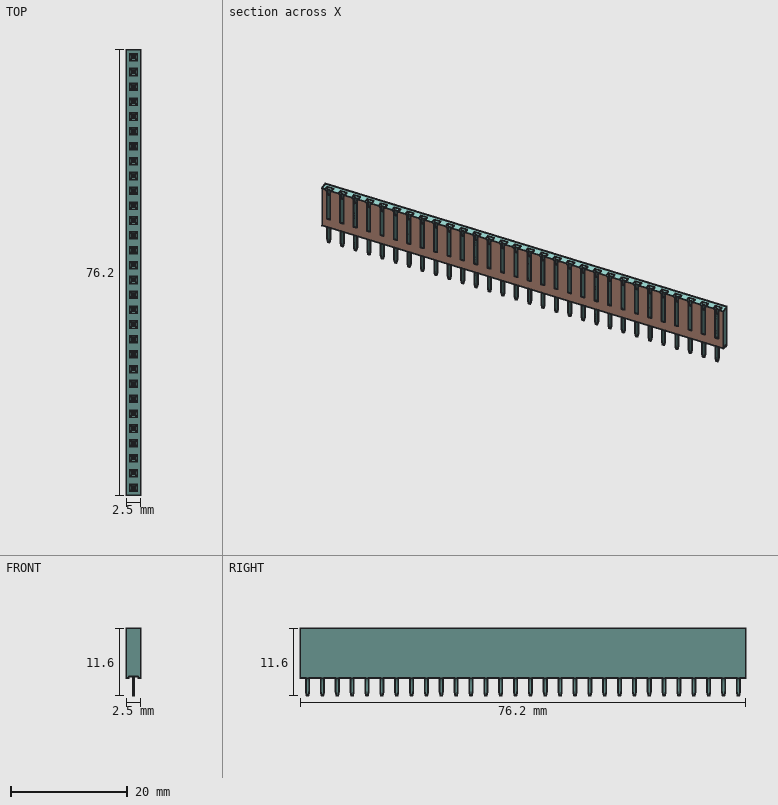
import cadquery as cq

pin_count = 30
body_length = 76.2
body_width = 2.5
body_height = 8.5
total_height = 11.6
pitch = body_length / pin_count

channel_width = 1.6
channel_depth = 0.2

mouth_size = 1.2
socket_size = 0.6
socket_depth = 6.1
funnel_depth = (mouth_size - socket_size) / 2
socket_top = body_height - funnel_depth
socket_floor = socket_top - socket_depth

blade_thickness = 0.2
blade_width = socket_size
blade_rise = 5.3
tip_width = 0.3
tip_length = 0.7
blade_top = socket_floor + blade_rise
tail_end = body_height - total_height
tip_start = tail_end + tip_length

pin_positions = [(0, (i - (pin_count - 1) / 2) * pitch) for i in range(pin_count)]


def make_housing():
    """Rectangular housing with a standoff channel along its underside."""
    from_base = (True, True, False)
    block = cq.Workplane("XY").box(body_width, body_length, body_height, centered=from_base)
    channel = cq.Workplane("XY").box(channel_width, body_length, channel_depth, centered=from_base)
    return block.cut(channel)


def make_mouth():
    """Cutter for one contact mouth, open at the top face."""
    funnel = (
        cq.Workplane("XY", origin=(0, 0, body_height))
        .rect(mouth_size, mouth_size)
        .workplane(offset=-funnel_depth)
        .rect(socket_size, socket_size)
        .loft(ruled=True)
    )
    socket = (
        cq.Workplane("XY", origin=(0, 0, socket_top))
        .rect(socket_size, socket_size)
        .extrude(-socket_depth)
    )
    return funnel.union(socket)


def make_contact():
    """One flat contact: a YZ outline, tapered at the tail end, extruded through its thickness."""
    return (
        cq.Workplane("YZ")
        .polyline([
            (-blade_width / 2, blade_top),
            (-blade_width / 2, tip_start),
            (-tip_width / 2, tail_end),
            (tip_width / 2, tail_end),
            (blade_width / 2, tip_start),
            (blade_width / 2, blade_top),
        ])
        .close()
        .extrude(blade_thickness / 2, both=True)
    )


def along_row(shape):
    """Copies of one shape at every pin position."""
    solid = shape.val()
    return cq.Workplane("XY").pushPoints(pin_positions).eachpoint(lambda place: solid.moved(place))


result = make_housing().cut(along_row(make_mouth())).union(along_row(make_contact()))